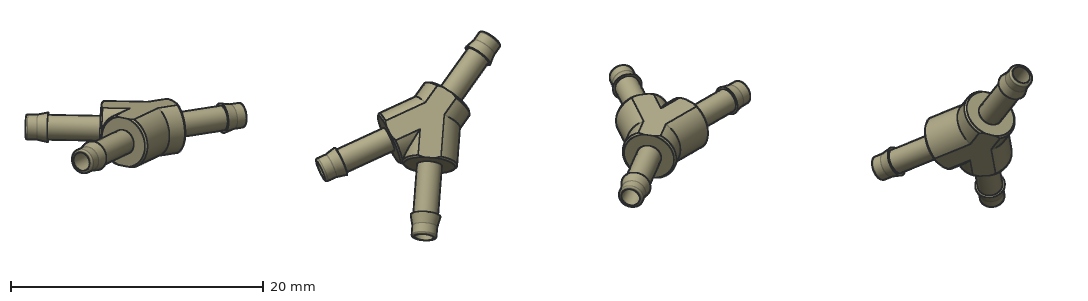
import cadquery as cq
import math


overall_length = 17.1

body_diameter = 4.4
body_thickness = 4.0
body_edge_chamfer = 0.15
branch_arm_length = 3.88
branch_angle = 30

tube_diameter = 2.0
tube_length = 6.0
bore_diameter = 1.5
tip_radius = 0.15

barb_diameter = 2.4
barb_start = 0.9
barb_length = 0.85

branch_angle_radians = math.radians(branch_angle)
branch_reach = (
    (branch_arm_length + tube_length - tip_radius) * math.cos(branch_angle_radians)
    + (tube_diameter / 2 - tip_radius) * math.sin(branch_angle_radians)
    + tip_radius
)
straight_arm_length = overall_length - branch_reach - tube_length

arms = [
    (0, straight_arm_length),
    (180 - branch_angle, branch_arm_length),
    (180 + branch_angle, branch_arm_length),
]


def place(shape, direction):
    """Turn a shape built along +Z onto the arm direction in the XY plane."""
    along_y = shape.rotate((0, 0, 0), (1, 0, 0), -90)
    return along_y.rotate((0, 0, 0), (0, 0, 1), direction)


def make_body_arm(length):
    return (
        cq.Workplane("XY")
        .circle(body_diameter / 2)
        .extrude(length)
        .faces(">Z")
        .chamfer(body_edge_chamfer)
    )


def make_tube(arm_length):
    """Tube from the origin to its rounded tip, with one conical barb."""
    tip = arm_length + tube_length
    barb_small_end = tip - barb_start
    barb_large_end = barb_small_end - barb_length
    tube_radius = tube_diameter / 2
    round_offset = tip_radius * (1 - math.sqrt(0.5))
    return (
        cq.Workplane("XZ")
        .lineTo(tube_radius, 0)
        .lineTo(tube_radius, barb_large_end)
        .lineTo(barb_diameter / 2, barb_large_end)
        .lineTo(tube_radius, barb_small_end)
        .lineTo(tube_radius, tip - tip_radius)
        .threePointArc(
            (tube_radius - round_offset, tip - round_offset),
            (tube_radius - tip_radius, tip),
        )
        .lineTo(0, tip)
        .close()
        .revolve(360, (0, 0, 0), (0, 1, 0))
    )


def make_bore(arm_length):
    return cq.Workplane("XY").circle(bore_diameter / 2).extrude(arm_length + tube_length)


body = cq.Workplane("XY")
for direction, arm_length in arms:
    body = body.union(place(make_body_arm(arm_length), direction))
trim_size = 2 * overall_length
body = body.intersect(cq.Workplane("XY").box(trim_size, trim_size, body_thickness))

connector = body
for direction, arm_length in arms:
    connector = connector.union(place(make_tube(arm_length), direction))

for direction, arm_length in arms:
    connector = connector.cut(place(make_bore(arm_length), direction))

result = connector